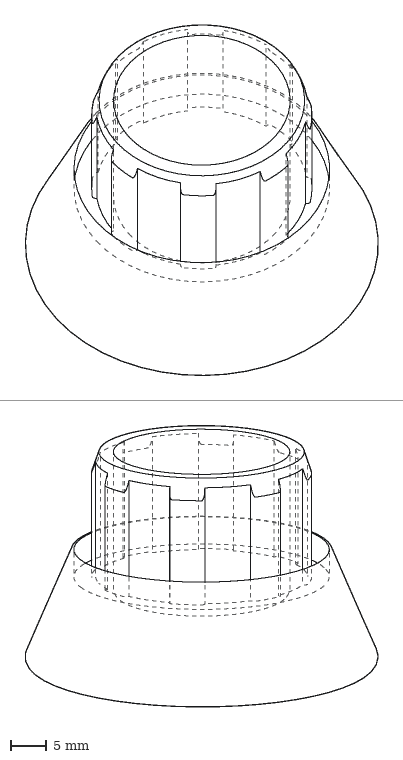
import cadquery as cq
import math

base_radius = 25.0
base_round = 1.0
rim_radius = 18.45
rim_height = 16.7
rim_round = 0.15

recess_radius = 36.2 / 2
recess_floor = 12.7

total_height = 31.0
tube_radius = 15.0
bore_radius = 25.0 / 2
bore_floor = 10.0
bore_round = 1.0

rib_count = 8
rib_radius = 15.6
rib_width = 5.0
rib_corner_round = 0.45

mouth_radius = 14.55
lead_in_height = 3.05


def cylinder(radius, bottom, top):
    return cq.Workplane("XY").workplane(offset=bottom).circle(radius).extrude(top - bottom)


def make_skirt():
    """Solid cone whose sides run tangent into a rounded base edge."""
    centre_radius = base_radius - base_round
    run = rim_radius - centre_radius
    rise = rim_height - base_round
    distance = math.hypot(run, rise)
    tangent_angle = math.atan2(rise, run) - math.acos(base_round / distance)
    mid_angle = (tangent_angle - math.pi / 2) / 2

    def on_round(angle):
        return (
            centre_radius + base_round * math.cos(angle),
            base_round + base_round * math.sin(angle),
        )

    profile = (
        cq.Workplane("XZ")
        .lineTo(centre_radius, 0)
        .threePointArc(on_round(mid_angle), on_round(tangent_angle))
        .lineTo(rim_radius, rim_height)
        .lineTo(0, rim_height)
        .close()
    )
    return profile.revolve(360, (0, 0, 0), (0, 1, 0)).faces(">Z").edges().fillet(rim_round)


def make_ribs():
    """Evenly spaced ribs with rounded corners and an outer face concentric with the tube."""
    root = (bore_radius + tube_radius) / 2
    half_width = rib_width / 2
    corner = math.sqrt(rib_radius**2 - half_width**2)
    rib = (
        cq.Workplane("XY")
        .workplane(offset=recess_floor)
        .moveTo(root, -half_width)
        .lineTo(corner, -half_width)
        .threePointArc((rib_radius, 0), (corner, half_width))
        .lineTo(root, half_width)
        .close()
        .extrude(total_height - recess_floor)
        .edges("|Z")
        .edges(">X")
        .fillet(rib_corner_round)
    )
    ribs = rib
    for index in range(1, rib_count):
        ribs = ribs.union(rib.rotate((0, 0, 0), (0, 0, 1), index * 360 / rib_count))
    return ribs


def make_lead_in_envelope():
    """Cylinder around the ribs, tapered to the tube mouth."""
    return (
        cq.Workplane("XZ")
        .moveTo(0, recess_floor)
        .lineTo(rib_radius, recess_floor)
        .lineTo(rib_radius, total_height - lead_in_height)
        .lineTo(mouth_radius, total_height)
        .lineTo(0, total_height)
        .close()
        .revolve(360, (0, 0, 0), (0, 1, 0))
    )


def make_bore():
    """Blind bore with a rounded floor edge."""
    return cylinder(bore_radius, bore_floor, total_height).faces("<Z").edges().fillet(bore_round)


skirt = make_skirt().cut(cylinder(recess_radius, recess_floor, rim_height))
tube = cylinder(tube_radius, recess_floor, total_height).union(make_ribs())
tube = tube.intersect(make_lead_in_envelope())
result = skirt.union(tube).cut(make_bore())